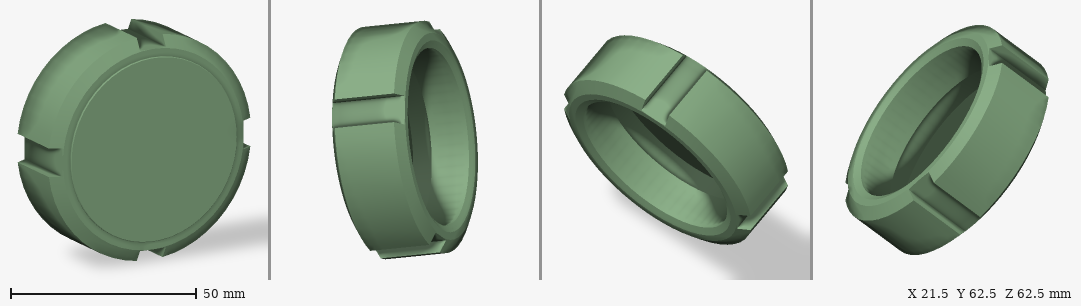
import cadquery as cq
import math


slot_width = 8.0
slot_count = 4

overall_size = 62.5
outer_radius = math.hypot(overall_size / 2, slot_width / 2)
face_radius = 56.1 / 2
body_length = 21.0
chamfer_slope = math.tan(math.radians(30))
chamfer_length = chamfer_slope * (outer_radius - face_radius)

lip_radius = 51.6 / 2
lip_length = 0.5
lip_chamfer = 0.2
total_length = body_length + lip_length

mouth_radius = 52.0 / 2
bore_radius = 48.2 / 2
chamber_radius = 52.8 / 2
mouth_chamfer_length = chamfer_slope * (mouth_radius - bore_radius)
bore_depth = 11.8
floor_depth = 18.0

profile = [
    (0, mouth_radius),
    (0, face_radius),
    (chamfer_length, outer_radius),
    (body_length - chamfer_length, outer_radius),
    (body_length, face_radius),
    (body_length, lip_radius),
    (total_length - lip_chamfer, lip_radius),
    (total_length, lip_radius - lip_chamfer),
    (total_length, 0),
    (floor_depth, 0),
    (floor_depth, chamber_radius),
    (bore_depth, chamber_radius),
    (bore_depth, bore_radius),
    (mouth_chamfer_length, bore_radius),
]
body = cq.Workplane("XY").polyline(profile).close().revolve(360, (0, 0, 0), (1, 0, 0))


def spanner_slot(angle):
    """Full-length slot cutter with a flat floor, turned about the X axis."""
    cutter = cq.Workplane("XY").box(
        total_length, slot_width, outer_radius, centered=(False, True, False)
    )
    return cutter.translate((0, 0, face_radius)).rotate((0, 0, 0), (1, 0, 0), angle)


for index in range(slot_count):
    body = body.cut(spanner_slot(index * 360 / slot_count))

result = body